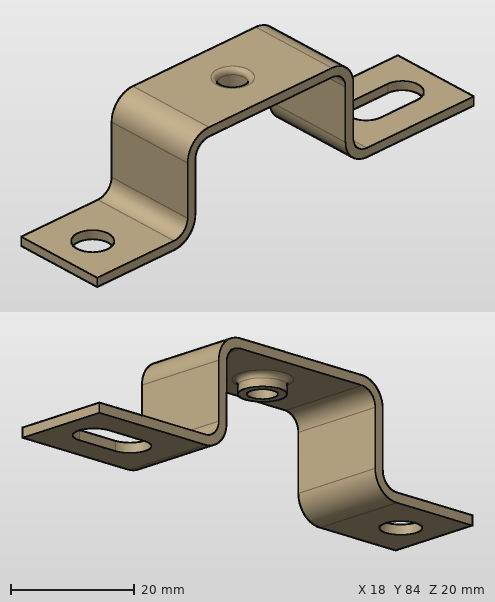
import cadquery as cq

length = 84.0
width = 18.0
height = 20.0
thickness = 1.8
inner_bend = 3.0
outer_bend = inner_bend + thickness

hat_length = 37.0
long_foot = 26.9
hat_half = hat_length / 2
back_end = hat_half + long_foot
front_end = back_end - length

hole_diameter = 7.0
slot_length = 15.0
slot_end_distance = 11.5
hole_end_distance = 7.5

collar_diameter = 8.0
collar_height = 2.5
collar_bore = 5.0
collar_fillet = 1.0


def bent_strip():
    """Constant-thickness strip with four bends, extruded along X."""
    inner_half = hat_half - thickness
    underside = height - thickness
    outline = [
        (front_end, 0),
        (-inner_half, 0),
        (-inner_half, underside),
        (inner_half, underside),
        (inner_half, 0),
        (back_end, 0),
        (back_end, thickness),
        (hat_half, thickness),
        (hat_half, height),
        (-hat_half, height),
        (-hat_half, thickness),
        (front_end, thickness),
    ]
    strip = cq.Workplane("YZ").polyline(outline).close().extrude(width / 2, both=True)

    def bend_edges(y, z):
        margin = thickness / 4
        low = (-width, y - margin, z - margin)
        high = (width, y + margin, z + margin)
        return cq.selectors.BoxSelector(low, high)

    for side in (-1, 1):
        for y, z, radius in (
            (hat_half, height, outer_bend),
            (inner_half, underside, inner_bend),
            (inner_half, 0, outer_bend),
            (hat_half, thickness, inner_bend),
        ):
            strip = strip.edges("|X").edges(bend_edges(side * y, z)).fillet(radius)
    return strip


def foot_holes():
    """Cutters for the slot in the long foot and the hole in the short foot."""
    slot = (
        cq.Workplane("XY")
        .center(0, back_end - slot_end_distance)
        .slot2D(slot_length, hole_diameter, 90)
        .extrude(thickness)
    )
    hole = (
        cq.Workplane("XY")
        .center(0, front_end + hole_end_distance)
        .circle(hole_diameter / 2)
        .extrude(thickness)
    )
    return slot.union(hole)


def add_collar(strip):
    """Draw a bored collar down from the hat, with rounded root and mouth."""
    underside = height - thickness
    collar = (
        cq.Workplane("XY", origin=(0, 0, underside - collar_height))
        .circle(collar_diameter / 2)
        .extrude(collar_height)
    )
    root = cq.selectors.BoxSelector(
        (-collar_diameter, -collar_diameter, underside - thickness / 4),
        (collar_diameter, collar_diameter, underside + thickness / 4),
    )
    body = strip.union(collar).edges("%CIRCLE").edges(root).fillet(collar_fillet)
    bore = (
        cq.Workplane("XY", origin=(0, 0, underside - collar_height))
        .circle(collar_bore / 2)
        .extrude(collar_height + thickness)
    )
    return body.cut(bore).faces(">Z").edges("%CIRCLE").fillet(collar_fillet)


result = add_collar(bent_strip().cut(foot_holes()))